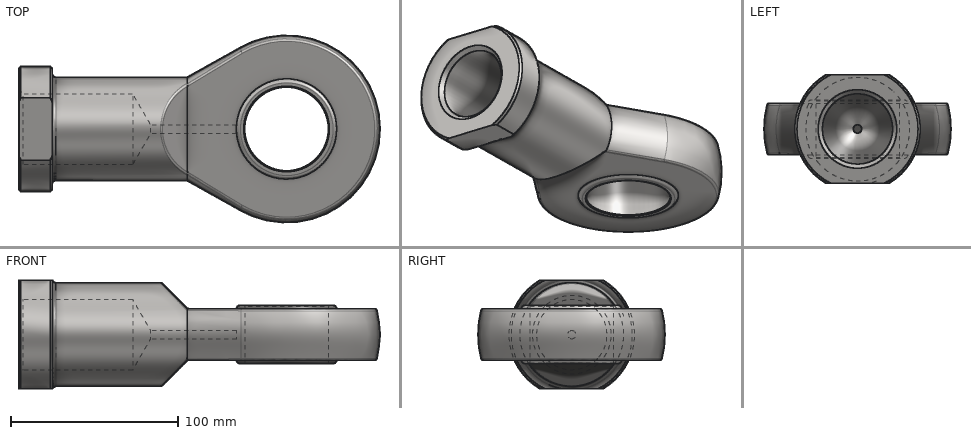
import cadquery as cq
import math

EYE_X = 160.0
EYE_RADIUS = 56.0
EYE_THICKNESS = 31.0
EYE_EDGE_FILLET = 1.6

RING_RADIUS = 30.0
RING_WIDTH = 35.0
RING_FILLET = 2.3
RING_BORE_RADIUS = 25.0
RING_BORE_CHAMFER = 0.6

NECK_RADIUS = 31.0
NECK_FILLET = 2.0
COLLAR_RADIUS = 37.5
COLLAR_LENGTH = 20.0
COLLAR_CHAMFER = 1.3
WRENCH_FLATS = 65.0

THREAD_RADIUS = 21.0
THREAD_DEPTH = 68.0
THREAD_MOUTH_RADIUS = 23.5
DRILL_POINT_ANGLE = 120.0
OIL_HOLE_RADIUS = 2.5

WING_X = 100.8

HALF_EYE = EYE_THICKNESS / 2
NECK_TO_EYE = math.hypot(EYE_X - WING_X, NECK_RADIUS)
WING_HALF_ANGLE = math.asin(EYE_RADIUS / NECK_TO_EYE) - math.atan2(NECK_RADIUS, EYE_X - WING_X)
TANGENT_X = EYE_X - EYE_RADIUS * math.sin(WING_HALF_ANGLE)
FACE_RADIUS = math.sqrt(EYE_RADIUS**2 - HALF_EYE**2)
SLOPE_X = WING_X - (NECK_RADIUS - HALF_EYE)


def make_shank():
    """Collar with wrench flats and round neck, turned about X."""
    neck_start = COLLAR_LENGTH + NECK_FILLET
    fillet_mid = NECK_FILLET * (1 - math.sqrt(0.5))
    body = (
        cq.Workplane("XY")
        .moveTo(0, 0)
        .lineTo(0, COLLAR_RADIUS - COLLAR_CHAMFER)
        .lineTo(COLLAR_CHAMFER, COLLAR_RADIUS)
        .lineTo(COLLAR_LENGTH - COLLAR_CHAMFER, COLLAR_RADIUS)
        .lineTo(COLLAR_LENGTH, COLLAR_RADIUS - COLLAR_CHAMFER)
        .lineTo(COLLAR_LENGTH, NECK_RADIUS + NECK_FILLET)
        .threePointArc((COLLAR_LENGTH + fillet_mid, NECK_RADIUS + fillet_mid), (neck_start, NECK_RADIUS))
        .lineTo(WING_X, NECK_RADIUS)
        .lineTo(WING_X, 0)
        .close()
        .revolve(360, (0, 0, 0), (1, 0, 0))
    )
    half_flats = WRENCH_FLATS / 2
    slope_top_x = WING_X - (half_flats - HALF_EYE)
    envelope = (
        cq.Workplane("XZ")
        .polyline([
            (0, -half_flats),
            (slope_top_x, -half_flats),
            (WING_X, -HALF_EYE),
            (WING_X, HALF_EYE),
            (slope_top_x, half_flats),
            (0, half_flats),
        ])
        .close()
        .extrude(COLLAR_RADIUS, both=True)
    )
    return body.intersect(envelope)


def make_eye():
    """Disc with a spherical rim, kept only beyond the wing tangent points."""
    disc = (
        cq.Workplane("XZ", origin=(EYE_X, 0, 0))
        .moveTo(0, -HALF_EYE)
        .lineTo(FACE_RADIUS, -HALF_EYE)
        .threePointArc((EYE_RADIUS, 0), (FACE_RADIUS, HALF_EYE))
        .lineTo(0, HALF_EYE)
        .close()
        .revolve(360, (0, 0, 0), (0, 1, 0))
    )
    kept_length = EYE_X + EYE_RADIUS - TANGENT_X
    keep = cq.Workplane("XY").box(
        kept_length, 2 * EYE_RADIUS, EYE_THICKNESS, centered=(False, True, True)
    ).translate((TANGENT_X, 0, 0))
    return disc.intersect(keep)


def make_wing(eye):
    """Ruled transition from the trimmed round neck to the cut face of the eye."""
    neck_face_y = math.sqrt(NECK_RADIUS**2 - HALF_EYE**2)
    neck_wire = (
        cq.Workplane("YZ", origin=(WING_X, 0, 0))
        .moveTo(-neck_face_y, -HALF_EYE)
        .lineTo(neck_face_y, -HALF_EYE)
        .threePointArc((NECK_RADIUS, 0), (neck_face_y, HALF_EYE))
        .lineTo(-neck_face_y, HALF_EYE)
        .threePointArc((-NECK_RADIUS, 0), (-neck_face_y, -HALF_EYE))
        .close()
        .val()
    )
    eye_wire = eye.faces("<X").val().outerWire()
    return cq.Workplane(cq.Solid.makeLoft([neck_wire, eye_wire], True))


def round_eye_edges(body):
    """Round the rims of both eye faces and of the slopes running up to the neck."""
    beyond_neck = cq.selectors.BoxSelector(
        (SLOPE_X, -EYE_RADIUS, -NECK_RADIUS),
        (EYE_X + EYE_RADIUS, EYE_RADIUS, NECK_RADIUS),
    )
    tolerance = 0.01
    curved_rims = [
        edge
        for edge in body.edges(beyond_neck).vals()
        if abs(edge.Center().z) > HALF_EYE - tolerance and edge.geomType() != "LINE"
    ]
    return body.newObject(curved_rims).fillet(EYE_EDGE_FILLET)


def add_bearing_ring(body):
    """Ring standing proud of the eye, with rounded rims and a chamfered bore."""
    ring = (
        cq.Workplane("XY", origin=(EYE_X, 0, -RING_WIDTH / 2))
        .circle(RING_RADIUS)
        .extrude(RING_WIDTH)
        .edges()
        .fillet(RING_FILLET)
    )
    half_width = RING_WIDTH / 2
    mouth_radius = RING_BORE_RADIUS + RING_BORE_CHAMFER
    straight_half = half_width - RING_BORE_CHAMFER
    bore = (
        cq.Workplane("XZ", origin=(EYE_X, 0, 0))
        .polyline([
            (0, -half_width),
            (mouth_radius, -half_width),
            (RING_BORE_RADIUS, -straight_half),
            (RING_BORE_RADIUS, straight_half),
            (mouth_radius, half_width),
            (0, half_width),
        ])
        .close()
        .revolve(360, (0, 0, 0), (0, 1, 0))
    )
    return body.union(ring).cut(bore)


def cut_thread_hole(body):
    """Blind threaded hole with countersunk mouth, drill point and oil passage to the ring."""
    mouth_depth = THREAD_MOUTH_RADIUS - THREAD_RADIUS
    point_slope = math.tan(math.radians(DRILL_POINT_ANGLE / 2))
    point_end = THREAD_DEPTH + (THREAD_RADIUS - OIL_HOLE_RADIUS) / point_slope
    passage_end = EYE_X - RING_RADIUS
    cutter = (
        cq.Workplane("XY")
        .polyline([
            (0, 0),
            (0, THREAD_MOUTH_RADIUS),
            (mouth_depth, THREAD_RADIUS),
            (THREAD_DEPTH, THREAD_RADIUS),
            (point_end, OIL_HOLE_RADIUS),
            (passage_end, OIL_HOLE_RADIUS),
            (passage_end, 0),
        ])
        .close()
        .revolve(360, (0, 0, 0), (1, 0, 0))
    )
    return body.cut(cutter)


shank = make_shank()
eye = make_eye()
wing = make_wing(eye)
blank = round_eye_edges(shank.union(wing).union(eye))
result = add_bearing_ring(cut_thread_hole(blank))